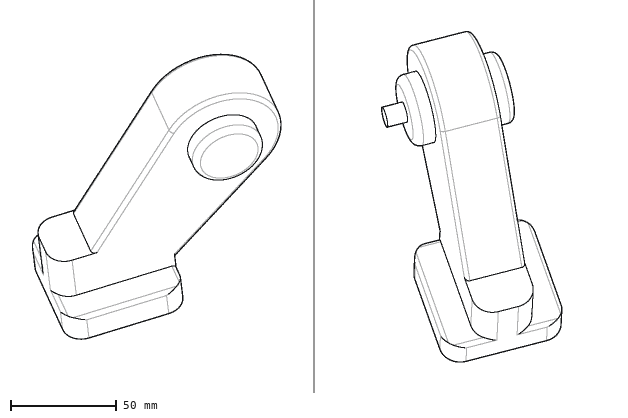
import cadquery as cq
import math

tilt_angle = 5.0

plate_side = 60.0
plate_height = 15.0
corner_radius = 10.0
edge_fillet = 2.0

arm_width = 30.0
neck_height = 40.0

head_radius = 30.0
head_y = plate_side
head_z = head_y + plate_side / 2
foot_setback = 20.0
arm_foot_front_y = -plate_side / 2 + foot_setback
arm_foot_back_z = foot_setback

boss_diameter = 35.0
boss_length = 10.1
boss_left_fillet = 4.0
boss_right_fillet = 3.0
pin_diameter = 10.0
pin_length = 10.0


def tangent_point(foot_y, foot_z, side):
    """Point where a line from the foot touches the head circle (side: +1 front, -1 back)."""
    reach_y = foot_y - head_y
    reach_z = foot_z - head_z
    toward_foot = math.atan2(reach_z, reach_y)
    spread = math.acos(head_radius / math.hypot(reach_y, reach_z))
    angle = toward_foot - side * spread
    return (head_y + head_radius * math.cos(angle), head_z + head_radius * math.sin(angle))


def make_plate():
    slab = cq.Workplane("XY").box(plate_side, plate_side, plate_height, centered=(True, True, False))
    slab = slab.edges(">Z").fillet(edge_fillet)
    outline = cq.Workplane("XY").rect(plate_side, plate_side).extrude(plate_height)
    return slab.intersect(outline.edges("|Z").fillet(corner_radius))


def make_neck():
    neck = cq.Workplane("XY").box(arm_width, plate_side, neck_height, centered=(True, True, False))
    return neck.edges("|Z and <Y").fillet(corner_radius)


def make_arm():
    front_foot = (arm_foot_front_y, neck_height)
    back_foot = (plate_side / 2, arm_foot_back_z)
    head_crown = (head_y + head_radius * math.sqrt(0.5), head_z + head_radius * math.sqrt(0.5))
    arm = (
        cq.Workplane("YZ")
        .moveTo(*front_foot)
        .lineTo(*tangent_point(*front_foot, 1))
        .threePointArc(head_crown, tangent_point(*back_foot, -1))
        .lineTo(*back_foot)
        .close()
        .extrude(arm_width / 2, both=True)
    )
    return arm.edges("%CIRCLE").fillet(edge_fillet)


def make_cylinder(diameter, start_x, end_x):
    face = cq.Workplane("YZ", origin=(start_x, head_y, head_z))
    return face.circle(diameter / 2).extrude(end_x - start_x)


def make_shaft():
    boss_end = arm_width / 2 + boss_length
    boss_left = make_cylinder(boss_diameter, -boss_end, 0).faces("<X").edges().fillet(boss_left_fillet)
    boss_right = make_cylinder(boss_diameter, 0, boss_end).faces(">X").edges().fillet(boss_right_fillet)
    pin = make_cylinder(pin_diameter, -boss_end - pin_length, 0)
    return boss_left.union(boss_right).union(pin)


part = make_plate().union(make_neck()).union(make_arm()).union(make_shaft())
result = part.rotate((0, 0, 0), (1, 0, 0), tilt_angle)